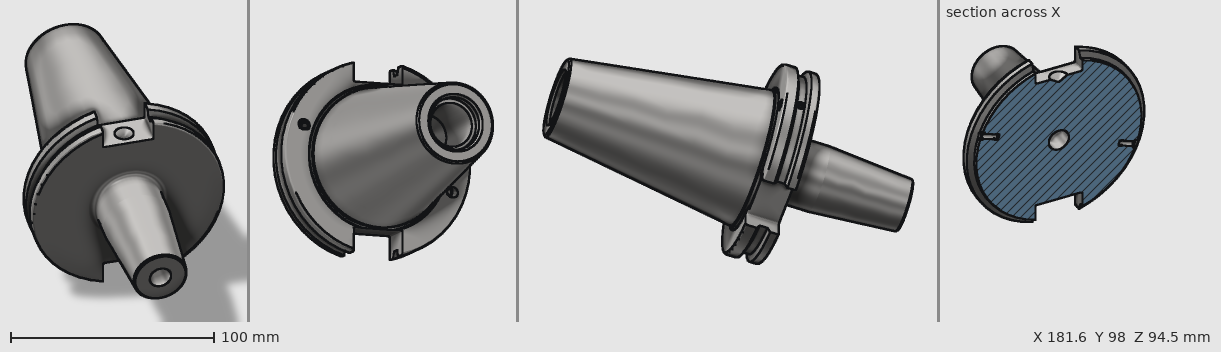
import cadquery as cq
import math

total_length = 181.6
taper_end = 101.5
neck_start = 102.2
flange_front = 103.1
flange_back = 120.5
shank_straight_end = 137.0

taper_ratio = 7 / 24
taper_large_diameter = 70.0
taper_small_diameter = taper_large_diameter - taper_ratio * taper_end
end_chamfer_length = 0.9
end_chamfer_depth = 0.9
neck_diameter = 69.2

flange_diameter = 98.0
flange_fillet = 1.0
groove_floor_diameter = 91.3
groove_center = 112.6
groove_floor_width = 4.0
groove_top_width = 6.9
face_recess_diameter = 73.5
face_recess_depth = 1.0
face_recess_chamfer = 0.5

shank_diameter = 34.0
shank_fillet = 3.0
tip_diameter = 27.0
tip_chamfer = 0.7

bore_mouth_diameter = 28.9
counterbore_diameter = 26.2
bore_chamfer_length = 1.5
counterbore_end = 5.8
thread_bore_diameter = 22.0
thread_bore_end = 40.0
through_diameter = 10.9
drill_half_angle = math.radians(59)

slot_width = 25.8
upper_slot_floor = 37.6
lower_slot_floor = 35.2
slot_corner_fillet = 0.7
dimple_diameter = 9.5

coolant_angle = 20.0
face_mouth_diameter = 5.0
face_mouth_depth = 2.2
face_hole_diameter = 3.3
face_hole_radius = 41.8
face_hole_tilt = math.radians(30)
feed_mouth_diameter = 4.2
feed_mouth_depth = 1.5
feed_hole_diameter = 2.5
feed_hole_floor = 35.5


def drill_point(diameter):
    """Axial length of a drilled cone that narrows from this diameter to a point."""
    return diameter / 2 / math.tan(drill_half_angle)


def make_body():
    """Revolve the outside of the taper, flange and shank."""
    small_radius = taper_small_diameter / 2
    flange_radius = flange_diameter / 2
    groove_radius = groove_floor_diameter / 2
    shank_radius = shank_diameter / 2
    tip_radius = tip_diameter / 2
    arc_middle_share = 1 - math.sqrt(0.5)
    fillet_middle = shank_fillet * arc_middle_share
    rim_middle = flange_fillet * arc_middle_share
    recess_floor = flange_front + face_recess_depth
    return (
        cq.Workplane("XY")
        .moveTo(0, 0)
        .lineTo(0, small_radius - end_chamfer_depth)
        .lineTo(end_chamfer_length, small_radius + taper_ratio * end_chamfer_length / 2)
        .lineTo(taper_end, taper_large_diameter / 2)
        .lineTo(neck_start, neck_diameter / 2)
        .lineTo(recess_floor, neck_diameter / 2)
        .lineTo(recess_floor, face_recess_diameter / 2 - face_recess_chamfer)
        .lineTo(flange_front + face_recess_chamfer, face_recess_diameter / 2 - face_recess_chamfer)
        .lineTo(flange_front, face_recess_diameter / 2)
        .lineTo(flange_front, flange_radius - flange_fillet)
        .threePointArc(
            (flange_front + rim_middle, flange_radius - rim_middle),
            (flange_front + flange_fillet, flange_radius),
        )
        .lineTo(groove_center - groove_top_width / 2, flange_radius)
        .lineTo(groove_center - groove_floor_width / 2, groove_radius)
        .lineTo(groove_center + groove_floor_width / 2, groove_radius)
        .lineTo(groove_center + groove_top_width / 2, flange_radius)
        .lineTo(flange_back - flange_fillet, flange_radius)
        .threePointArc(
            (flange_back - rim_middle, flange_radius - rim_middle),
            (flange_back, flange_radius - flange_fillet),
        )
        .lineTo(flange_back, shank_radius + shank_fillet)
        .threePointArc(
            (flange_back + fillet_middle, shank_radius + fillet_middle),
            (flange_back + shank_fillet, shank_radius),
        )
        .lineTo(shank_straight_end, shank_radius)
        .lineTo(total_length - tip_chamfer, tip_radius)
        .lineTo(total_length, tip_radius - tip_chamfer)
        .lineTo(total_length, 0)
        .close()
        .revolve(360, (0, 0, 0), (1, 0, 0))
    )


def make_bore():
    """Stepped bore with a drilled cone leading into the through hole."""
    cone_length = drill_point(thread_bore_diameter) - drill_point(through_diameter)
    return (
        cq.Workplane("XY")
        .moveTo(0, 0)
        .lineTo(0, bore_mouth_diameter / 2)
        .lineTo(bore_chamfer_length, counterbore_diameter / 2)
        .lineTo(counterbore_end, counterbore_diameter / 2)
        .lineTo(counterbore_end, thread_bore_diameter / 2)
        .lineTo(thread_bore_end, thread_bore_diameter / 2)
        .lineTo(thread_bore_end + cone_length, through_diameter / 2)
        .lineTo(total_length, through_diameter / 2)
        .lineTo(total_length, 0)
        .close()
        .revolve(360, (0, 0, 0), (1, 0, 0))
    )


def make_drive_slot(floor_height, side):
    """Slot through the flange; side is +1 for the top and -1 for the bottom."""
    slot_depth = flange_diameter / 2 - floor_height
    middle_height = floor_height + slot_depth / 2
    slot = cq.Workplane("XY").box(flange_back - flange_front, slot_width, slot_depth)
    floor_edges = slot.faces("<Z" if side > 0 else ">Z").edges("|X")
    slot = floor_edges.fillet(slot_corner_fillet)
    return slot.translate(((flange_front + flange_back) / 2, 0, side * middle_height))


def make_dimple():
    """Conical drill-point dimple in the upper slot floor."""
    dimple_depth = drill_point(dimple_diameter)
    cone = cq.Solid.makeCone(
        dimple_diameter / 2,
        0,
        dimple_depth,
        cq.Vector(groove_center, 0, upper_slot_floor),
        cq.Vector(0, 0, -1),
    )
    return cq.Workplane("XY").add(cone)


def make_stepped_hole(opening, direction, mouth_diameter, mouth_depth, hole_diameter, depth):
    """Two-step hole; the mouth also extends outward to clear the surface it enters."""
    mouth_start = opening - direction * mouth_diameter
    mouth_length = mouth_depth + mouth_diameter
    mouth = cq.Solid.makeCylinder(mouth_diameter / 2, mouth_length, mouth_start, direction)
    hole = cq.Solid.makeCylinder(hole_diameter / 2, depth, opening, direction)
    return cq.Workplane("XY").add(mouth).union(cq.Workplane("XY").add(hole))


def make_coolant_passage():
    """Radial feed hole met by a tilted hole from the flange face, both toward +Y."""
    groove_radius = groove_floor_diameter / 2
    feed_hole = make_stepped_hole(
        cq.Vector(groove_center, groove_radius, 0),
        cq.Vector(0, -1, 0),
        feed_mouth_diameter,
        feed_mouth_depth,
        feed_hole_diameter,
        groove_radius - feed_hole_floor,
    )
    face_hole = make_stepped_hole(
        cq.Vector(flange_front, face_hole_radius, 0),
        cq.Vector(math.cos(face_hole_tilt), -math.sin(face_hole_tilt), 0),
        face_mouth_diameter,
        face_mouth_depth,
        face_hole_diameter,
        (groove_center - flange_front) / math.cos(face_hole_tilt),
    )
    return feed_hole.union(face_hole)


result = make_body().cut(make_bore())
result = result.cut(make_drive_slot(upper_slot_floor, 1))
result = result.cut(make_drive_slot(lower_slot_floor, -1))
result = result.cut(make_dimple())
for half_turn in (0, 180):
    passage = make_coolant_passage().rotate((0, 0, 0), (1, 0, 0), coolant_angle + half_turn)
    result = result.cut(passage)